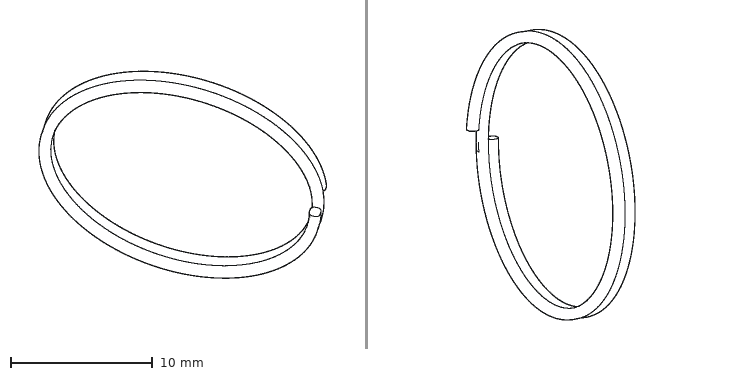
import cadquery as cq

ring_diameter = 20.63
wire_width = 0.8
wire_flat = 0.2
pitch = 0.83
turns = 2
rear_end_height = 0.85

coil_radius = (ring_diameter - wire_width) / 2
coil_length = pitch * turns
corner_radius = (wire_width - wire_flat) / 2

ring_plane = cq.Plane(
    origin=(0, 0, 0),
    xDir=(1, 1, 0),
    normal=(1, -1, 0),
)


def wound_wire():
    """Wire swept along a right-handed helix centred on the origin, starting on local +x."""
    helix = cq.Wire.makeHelix(pitch, coil_length, coil_radius).translate(cq.Vector(0, 0, -coil_length / 2))
    section = cq.Sketch().rect(wire_width, wire_width).vertices().fillet(corner_radius)
    start = cq.Workplane("XZ").center(coil_radius, -coil_length / 2).placeSketch(section)
    return start.sweep(cq.Workplane(helix), isFrenet=True)


def rear_end_trim():
    """Block around the first few degrees of the rear turn, ending at the underside of the next turn."""
    next_turn_underside = pitch - coil_length / 2 - wire_width / 2
    block = cq.Workplane("XY").box(2 * wire_width, rear_end_height + wire_width, 2 * wire_width)
    return block.translate((coil_radius, (rear_end_height - wire_width) / 2, next_turn_underside - wire_width))


ring = wound_wire().cut(rear_end_trim())
result = cq.Workplane(ring.val().moved(cq.Location(ring_plane)))